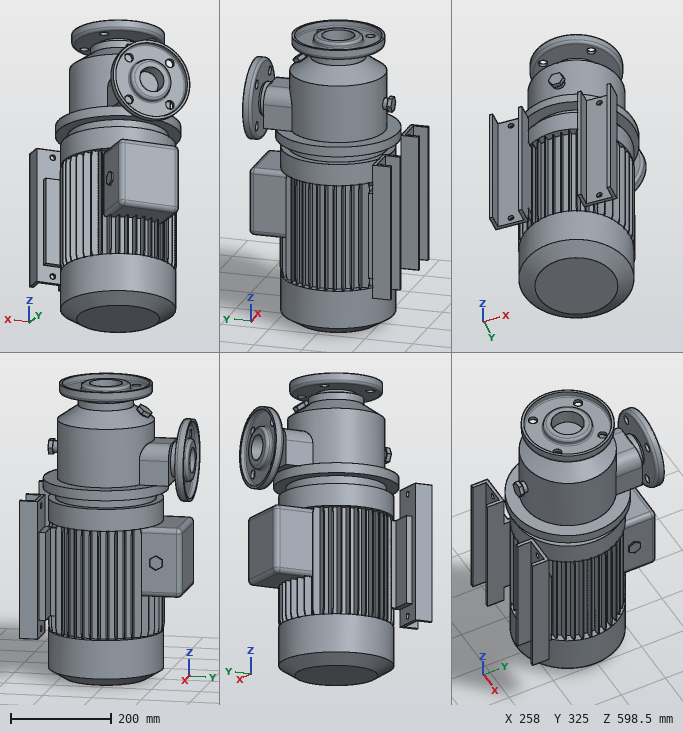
import cadquery as cq
import math


cap_chamfer_top = 20.0
cap_top = 98.0
fins_top = 321.0
shoulder_top = 365.5
joint_z = 385.5

motor_radius = 115.0
cap_bottom_radius = 82.5
spigot_radius = 100.5
core_radius = 100.0

fins_per_side = 10
fin_pitch_angle = 360 / 42
fin_spacing_radius = 114.0
fin_thickness = 2.5
fin_height = 17.0
fin_taper_length = 12.0
fin_end_drop = 2.5
fin_flat_y = -108.5

box_width = 128.0
box_bottom = 180.0
box_outer_y = 167.0
box_root_y = 78.0
box_fillet = 10.0
cable_plug_y = 115.5
cable_plug_across_flats = 25.0
cable_plug_length = 3.5

rail_span = 258.0
rail_width = 69.5
rail_wall = 7.0
rail_back_y = -112.0
rail_foot_y = -149.0
rail_top = 379.0
rail_hole_diameter = 11.5
rail_hole_end_distance = 15.0
rail_outer_x = rail_span / 2
rail_inner_x = rail_outer_x - rail_width
bracket_bottom = 134.0
bracket_top = 313.5
bracket_outer_x = 115.0
bracket_pad_thickness = 13.0
bracket_web_thickness = 9.0
bracket_root_y = -72.0

disc_radius = 125.0
disc_top = 406.0
casing_radius = 97.0
casing_top = 525.0
cone_top = 553.5
collar_diameter = 111.0
collar_radius = collar_diameter / 2
collar_top = 568.5

neck_taper = 3.5
flange_fillet = 6.0
recess_fillet = 2.5
rim_width = 5.5
plate_thickness = 7.0
hub_fillet = 6.0
bore_depth = 30.5
bolt_hole_diameter = 18.0
bolt_hole_count = 4

suction_face_z = 598.5
suction_hub_step = 0.0
suction_flange_radius = 93.0
suction_thickness = 20.5
suction_hub_radius = 49.0
suction_bore_radius = 33.0
suction_bolt_radius = 72.5
suction_neck_radius = 42.5
suction_taper_length = 7.0

discharge_face_y = 176.0
discharge_z = 449.0
discharge_hub_step = 2.0
discharge_flange_radius = 82.5
discharge_thickness = 18.0
discharge_hub_radius = 43.0
discharge_bore_radius = 26.0
discharge_bolt_radius = 62.0
discharge_neck_radius = 35.5
discharge_taper_length = 5.0
elbow_width = 111.0
elbow_top = 486.0
elbow_outer_y = 139.0
elbow_fillet = 30.0

plug_stem_radius = 12.0
drain_stem_length = 9.0
vent_stem_length = 1.0
plug_head_across_flats = 28.0
plug_head_length = 9.0
plug_embed = 6.0
drain_z = 464.5
vent_seat_radius = 75.0


def revolve_about_z(points):
    return cq.Workplane("XZ").polyline(points).close().revolve(360, (0, 0, 0), (0, 1, 0))


def block(x_range, y_range, z_range):
    size = [high - low for low, high in (x_range, y_range, z_range)]
    corner = cq.Vector(x_range[0], y_range[0], z_range[0])
    return cq.Workplane(cq.Solid.makeBox(*size, corner))


def hexagon_diameter(across_flats):
    return across_flats / math.cos(math.radians(30))




def motor_frame():
    return revolve_about_z([
        (0, 0),
        (cap_bottom_radius, 0),
        (motor_radius, cap_chamfer_top),
        (motor_radius, cap_top),
        (core_radius, cap_top),
        (core_radius, fins_top),
        (motor_radius, fins_top),
        (motor_radius, shoulder_top),
        (spigot_radius, shoulder_top),
        (spigot_radius, joint_z),
        (0, joint_z),
    ])


def cooling_fin(offset):
    """Rib in the XZ plane through the whole core, moved to y = offset, with tapered tip ends."""
    reach = math.sqrt(core_radius**2 - offset**2) + fin_height
    end_reach = reach - fin_end_drop
    low_taper = cap_top + fin_taper_length
    high_taper = fins_top - fin_taper_length
    return (
        cq.Workplane("XZ", origin=(0, offset, 0))
        .polyline([
            (-end_reach, cap_top),
            (end_reach, cap_top),
            (reach, low_taper),
            (reach, high_taper),
            (end_reach, fins_top),
            (-end_reach, fins_top),
            (-reach, high_taper),
            (-reach, low_taper),
        ])
        .close()
        .extrude(fin_thickness / 2, both=True)
    )


def cooling_fins():
    """Two crossing sets of ribs, cut flat on the rail side."""
    fins = cq.Workplane()
    for i in range(fins_per_side):
        angle = (i - (fins_per_side - 1) / 2) * fin_pitch_angle
        fin = cooling_fin(fin_spacing_radius * math.sin(math.radians(angle)))
        fins = fins.add(fin).add(fin.rotate((0, 0, 0), (0, 0, 1), 90))
    beyond = core_radius + fin_height
    trim = block((-beyond, beyond), (-beyond, fin_flat_y), (cap_top, fins_top))
    return fins.combine().cut(trim)


def terminal_box():
    box = block((-box_width / 2, box_width / 2), (box_root_y, box_outer_y), (box_bottom, fins_top))
    box = box.edges("|Y or >Y").fillet(box_fillet)
    plug = (
        cq.Workplane("YZ", origin=(box_width / 2, cable_plug_y, (box_bottom + fins_top) / 2))
        .transformed(rotate=(0, 0, 90))
        .polygon(6, hexagon_diameter(cable_plug_across_flats))
        .extrude(cable_plug_length)
    )
    return box.union(plug)


def rail():
    """Channel on the +X side, open toward -Y, with a bolt hole near each end of its web."""
    outer_x = (rail_inner_x, rail_outer_x)
    inner_x = (rail_inner_x + rail_wall, rail_outer_x - rail_wall)
    height = (cap_top, rail_top)
    channel = block(outer_x, (rail_foot_y, rail_back_y), height)
    channel = channel.cut(block(inner_x, (rail_foot_y, rail_back_y - rail_wall), height))
    hole_x = rail_inner_x + rail_width / 2
    for hole_z in (cap_top + rail_hole_end_distance, rail_top - rail_hole_end_distance):
        hole = (
            cq.Workplane("XZ", origin=(hole_x, rail_back_y, hole_z))
            .circle(rail_hole_diameter / 2)
            .extrude(rail_wall)
        )
        channel = channel.cut(hole)
    return channel


def rail_bracket():
    """Pad behind the +X rail, tied to the motor core by a web."""
    height = (bracket_bottom, bracket_top)
    pad_y = (rail_back_y, rail_back_y + bracket_pad_thickness)
    pad = block((rail_inner_x, bracket_outer_x), pad_y, height)
    web_x = (rail_inner_x, rail_inner_x + bracket_web_thickness)
    return pad.union(block(web_x, (rail_back_y, bracket_root_y), height))


def make_motor():
    mount = rail_bracket().union(rail())
    motor = motor_frame().union(cooling_fins()).union(terminal_box())
    return motor.union(mount).union(mount.mirror("YZ"))




def flange(radius, thickness, hub_radius, hub_step, bolt_radius):
    """Dished flange facing +Z: rim face at z = 0, hub ring hub_step above it."""
    floor_z = plate_thickness - thickness
    disc = cq.Workplane("XY", origin=(0, 0, -thickness)).circle(radius).extrude(thickness)
    disc = disc.edges("<Z").fillet(flange_fillet)
    recess = cq.Workplane("XY", origin=(0, 0, floor_z)).circle(radius - rim_width).extrude(-floor_z)
    recess = recess.edges("<Z").fillet(recess_fillet)
    hub = cq.Workplane("XY", origin=(0, 0, floor_z)).circle(hub_radius).extrude(hub_step - floor_z)
    hub = hub.edges(">Z").fillet(hub_fillet)
    reach = hub_radius + recess_fillet
    hub_root = cq.selectors.BoxSelector(
        (-reach, -reach, floor_z - recess_fillet),
        (reach, reach, floor_z + recess_fillet),
        boundingbox=True,
    )
    dished = disc.cut(recess).union(hub).edges(hub_root).fillet(recess_fillet)
    bolt_holes = (
        cq.Workplane("XY", origin=(0, 0, -thickness))
        .polarArray(bolt_radius, 180 / bolt_hole_count, 360, bolt_hole_count)
        .circle(bolt_hole_diameter / 2)
        .extrude(thickness)
    )
    return dished.cut(bolt_holes)


def port_bore(radius, face_z):
    """Blind bore going down from the hub face at face_z."""
    return cq.Workplane("XY", origin=(0, 0, face_z)).circle(radius).extrude(-bore_depth)


def casing():
    neck_top = suction_face_z - suction_hub_step - suction_thickness
    return revolve_about_z([
        (0, joint_z),
        (disc_radius, joint_z),
        (disc_radius, disc_top),
        (casing_radius, disc_top),
        (casing_radius, casing_top),
        (collar_radius, cone_top),
        (collar_radius, collar_top),
        (suction_neck_radius, collar_top),
        (suction_neck_radius, neck_top - suction_taper_length),
        (suction_neck_radius - neck_taper, neck_top),
        (0, neck_top),
    ])


def suction_port(body):
    port = flange(
        suction_flange_radius,
        suction_thickness,
        suction_hub_radius,
        suction_hub_step,
        suction_bolt_radius,
    ).translate((0, 0, suction_face_z - suction_hub_step))
    body = body.union(port)
    return body.cut(port_bore(suction_bore_radius, suction_face_z))


def to_discharge(shape):
    """Turn a shape built along +Z so that it points along +Y at the discharge height."""
    return shape.rotate((0, 0, 0), (1, 0, 0), -90).translate((0, 0, discharge_z))


def discharge_port(body):
    elbow = block((-elbow_width / 2, elbow_width / 2), (0, elbow_outer_y), (disc_top, elbow_top))
    elbow = elbow.edges("|Y and >Z").fillet(elbow_fillet)
    rim_y = discharge_face_y - discharge_hub_step
    neck_end = rim_y - discharge_thickness
    neck = revolve_about_z([
        (0, 0),
        (discharge_neck_radius, 0),
        (discharge_neck_radius, neck_end - discharge_taper_length),
        (discharge_neck_radius - neck_taper, neck_end),
        (0, neck_end),
    ])
    port = flange(
        discharge_flange_radius,
        discharge_thickness,
        discharge_hub_radius,
        discharge_hub_step,
        discharge_bolt_radius,
    ).translate((0, 0, rim_y))
    bore = port_bore(discharge_bore_radius, discharge_face_y)
    body = body.union(elbow).union(to_discharge(neck)).union(to_discharge(port))
    return body.cut(to_discharge(bore))


def screw_plug(seat, direction, exposed_stem):
    """Round stem with a hexagon head, standing on the casing at seat."""
    normal = cq.Vector(*direction).normalized()
    root = cq.Vector(*seat) - normal * plug_embed
    plane = cq.Plane(origin=root, xDir=(1, 0, 0), normal=normal)
    stem_length = plug_embed + exposed_stem
    stem = cq.Workplane(plane).circle(plug_stem_radius).extrude(stem_length)
    head = (
        cq.Workplane(plane)
        .workplane(offset=stem_length)
        .polygon(6, hexagon_diameter(plug_head_across_flats))
        .extrude(plug_head_length)
    )
    return stem.union(head)


def make_pump():
    pump = discharge_port(suction_port(casing()))
    drain_plug = screw_plug((0, -casing_radius, drain_z), (0, -1, 0), drain_stem_length)
    cone_rise = cone_top - casing_top
    cone_run = casing_radius - collar_radius
    vent_seat_z = casing_top + (casing_radius - vent_seat_radius) * cone_rise / cone_run
    vent_seat = (0, vent_seat_radius, vent_seat_z)
    vent_plug = screw_plug(vent_seat, (0, cone_rise, cone_run), vent_stem_length)
    return pump.union(drain_plug).union(vent_plug)


motor = make_motor()
pump = make_pump()
result = cq.Compound.makeCompound([motor.val(), pump.val()])